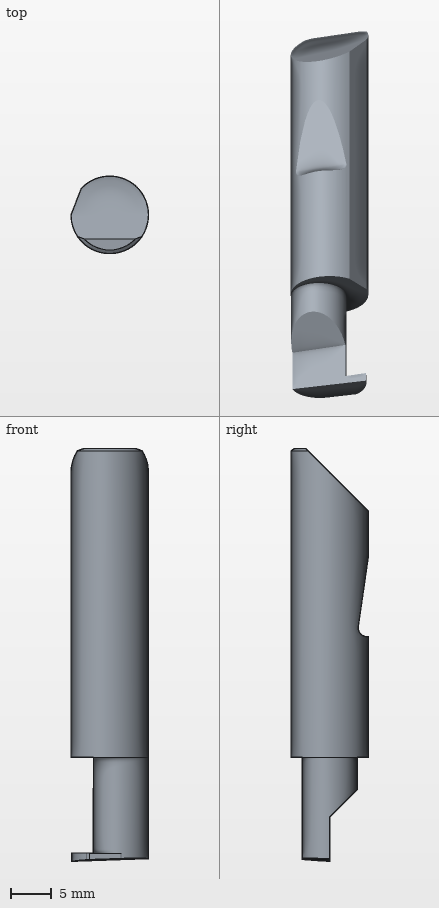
import cadquery as cq
import math

total_length = 50.8
shank_radius = 4.8
shoulder_z = 12.8
cut_margin = 2.55

rim_chamfer_width = 0.45
rim_chamfer_height = 0.3
bevel_start_y = -2.95

flat_span_angle = 42.4

notch_bottom_z = 27.65
notch_top_z = 37.6
notch_depth = 1.25
notch_arc_radius = 1.1

neck_radius = 3.4
neck_center_x = shank_radius - neck_radius
neck_relief_z = 5.45

head_height = 1.05
tip_x = -4.65
tip_arc_radius = 4.8
heel_start = (-2.85, -3.15)
heel_end = (-2.5, -neck_radius)
shelf_step = 0.1
bottom_slope_x = 0.035
bottom_slope_y = 0.05


def cut_profile_along_x(points):
    """Prism across the whole part from an outline of (y, z) points."""
    outline = cq.Workplane("YZ").polyline(points).close()
    return outline.extrude(shank_radius + cut_margin, both=True)


def make_shank():
    rim_z = total_length - rim_chamfer_height
    shank = (
        cq.Workplane("XZ")
        .moveTo(0, shoulder_z)
        .lineTo(shank_radius, shoulder_z)
        .lineTo(shank_radius, rim_z)
        .lineTo(shank_radius - rim_chamfer_width, total_length)
        .lineTo(0, total_length)
        .close()
        .revolve(360, (0, 0, 0), (0, 1, 0))
    )
    return shank.cut(make_bevel()).cut(make_flat()).cut(make_notch())


def make_bevel():
    low_y = bevel_start_y - cut_margin
    high_y = shank_radius + cut_margin
    return cut_profile_along_x([
        (low_y, total_length + cut_margin),
        (high_y, total_length + cut_margin),
        (high_y, total_length - (high_y - bevel_start_y)),
        (low_y, total_length - (low_y - bevel_start_y)),
    ])


def make_flat():
    flat_distance = shank_radius * math.cos(math.radians(flat_span_angle / 2))
    return (
        cq.Workplane("XY")
        .box(cut_margin, 2 * shank_radius, total_length, centered=(False, True, False))
        .translate((flat_distance, 0, shoulder_z))
        .rotate((0, 0, 0), (0, 0, 1), 180 - flat_span_angle / 2)
    )


def make_notch():
    floor_y = shank_radius - notch_depth
    outside_y = shank_radius + cut_margin
    return (
        cq.Workplane("YZ")
        .moveTo(outside_y, notch_bottom_z)
        .lineTo(floor_y + notch_arc_radius, notch_bottom_z)
        .radiusArc((floor_y, notch_bottom_z + notch_arc_radius), notch_arc_radius)
        .lineTo(shank_radius, notch_top_z)
        .lineTo(outside_y, notch_top_z)
        .close()
        .extrude(shank_radius + cut_margin, both=True)
    )


def make_neck():
    neck = cq.Workplane("XY").center(neck_center_x, 0).circle(neck_radius).extrude(shoulder_z)
    far_y = neck_radius + cut_margin
    run_out = cut_profile_along_x([
        (0, -cut_margin),
        (far_y, -cut_margin),
        (far_y, neck_relief_z + far_y),
        (0, neck_relief_z),
    ])
    return neck.cut(run_out)


def make_head():
    lobe = (
        cq.Workplane("XY")
        .moveTo(tip_x, 0)
        .radiusArc(heel_start, -tip_arc_radius)
        .lineTo(*heel_end)
        .lineTo(neck_center_x, -neck_radius)
        .lineTo(neck_center_x, 0)
        .close()
        .extrude(head_height)
    )
    neck_side_x = neck_center_x - neck_radius
    shelf_step_cut = (
        cq.Workplane("XY", origin=(0, 0, head_height - shelf_step))
        .polyline([(neck_side_x, 0), heel_end, (neck_center_x, -neck_radius), (neck_center_x, 0)])
        .close()
        .extrude(cut_margin)
    )
    return lobe.cut(shelf_step_cut)


def make_end_clearance():
    """Block under the end face, which rises away from the cutting tip."""
    end_plane = cq.Plane(
        origin=(tip_x, 0, 0),
        xDir=(1, 0, bottom_slope_x),
        normal=(-bottom_slope_x, bottom_slope_y, 1),
    )
    block_width = 6 * shank_radius
    return cq.Workplane(end_plane).rect(block_width, block_width).extrude(-cut_margin)


tip_and_neck = make_neck().union(make_head()).cut(make_end_clearance())
result = make_shank().union(tip_and_neck)